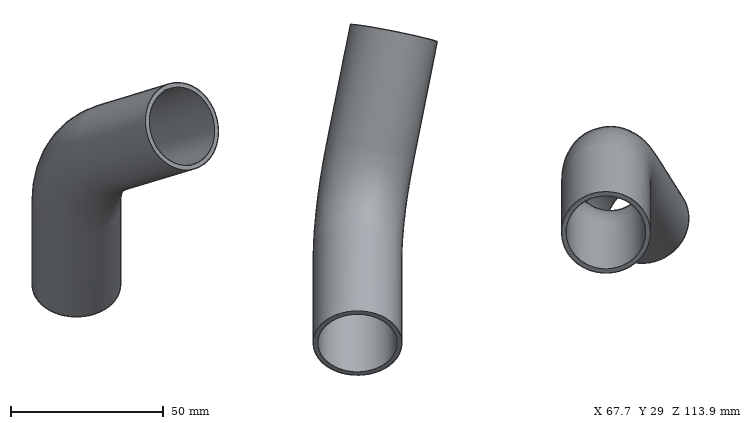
import cadquery as cq
import math

overall_height = 113.9
outer_diameter = 29.0
inner_diameter = 26.0
bend_radius = 50.0
bend_angle = 45.0

sine = math.sin(math.radians(bend_angle))
cosine = math.cos(math.radians(bend_angle))

bend_rise = bend_radius * sine
lip_rise = outer_diameter / 2 * sine
leg_length = (overall_height - bend_rise - lip_rise) / (1 + sine)


def bend_point(angle):
    """Point on the bend centreline, at an angle from its start."""
    turn = math.radians(angle)
    x = bend_radius * (1 - math.cos(turn))
    z = leg_length + bend_radius * math.sin(turn)
    return x, z


bend_end_x, bend_end_z = bend_point(bend_angle)
centreline = (
    cq.Workplane("XZ")
    .lineTo(0, leg_length)
    .threePointArc(bend_point(bend_angle / 2), (bend_end_x, bend_end_z))
    .lineTo(bend_end_x + leg_length * sine, bend_end_z + leg_length * cosine)
)

result = (
    cq.Workplane("XY")
    .circle(outer_diameter / 2)
    .circle(inner_diameter / 2)
    .sweep(centreline)
)